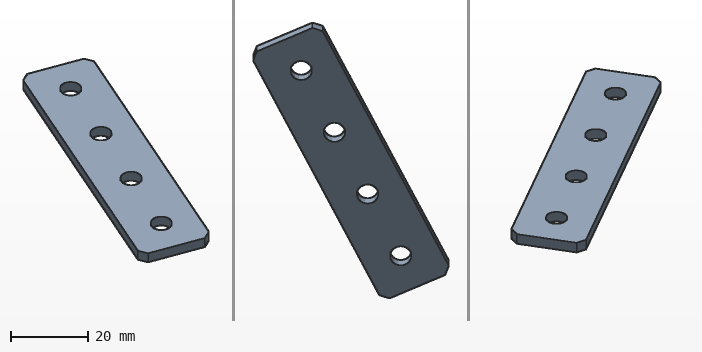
import cadquery as cq

length = 80.0
width = 20.0
thickness = 3.0
corner_chamfer = 2.0

hole_count = 4
hole_diameter = 5.5
hole_pitch = length / hole_count


def make_bar():
    """Rectangular bar with its four vertical corners cut off."""
    bar = cq.Workplane("XY").box(length, width, thickness)
    return bar.edges("|Z").chamfer(corner_chamfer)


def drill_hole_row(bar):
    """Evenly spaced through holes along the centreline."""
    top = bar.faces(">Z").workplane(centerOption="CenterOfBoundBox")
    return top.rarray(hole_pitch, width, hole_count, 1).hole(hole_diameter)


result = drill_hole_row(make_bar())